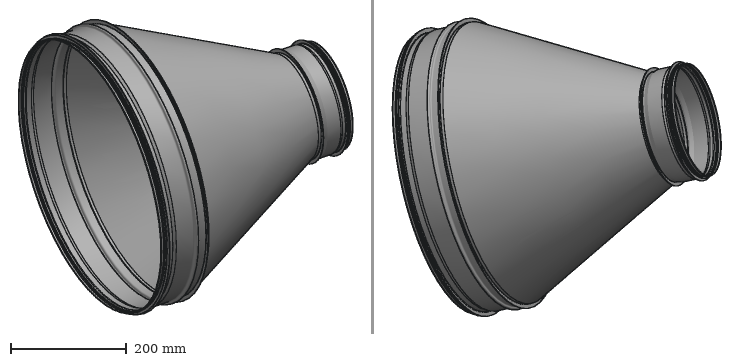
import cadquery as cq
import math


total_length = 468.5
sheet = 0.5
folded_flange = 2 * sheet

large_radius = 499.0 / 2
large_groove_radius = 493.5 / 2
large_groove_end = 25.0
large_groove_taper = 5.5
large_collar_length = 90.5
large_flange_radius = 513 / 2

bead_depth = 70.5
bend_radius = 2.8

small_radius = 200.0 / 2
small_groove_radius = 197.0 / 2
small_groove_end = 20.5
small_groove_taper = 4.0
small_body_end = 51.0
small_neck_start = 57.5
small_neck_radius = 196.0 / 2
small_collar_length = 62.5
small_flange_radius = 209.5 / 2

lip_length = 5.5
lip_taper = 1.5
lip_turn_in = 0.5
lip_turn_length = 1.5
seal_base_height = 1.0
seal_length = 7.5
front_fin_offset = 1.5
fin_thickness = 1.5
large_front_fin_radius = 253.5
large_main_fin_radius = 255.0
small_front_fin_radius = 204.5 / 2
small_main_fin_radius = 211.0 / 2

neck_length = 5.5

seal_start = lip_length + lip_taper


def revolve(outline):
    """Turn a closed outline of (radius, Y) points around the Y axis."""
    return outline.close().revolve(360, (0, 0, 0), (0, 1, 0))


def disc(radius, start, thickness):
    """A round plate on the Y axis."""
    end = start + thickness
    return revolve(cq.Workplane("XY").polyline([(0, start), (radius, start), (radius, end), (0, end)]))


def mouth_outline(radius, groove_radius, groove_end, groove_taper):
    """Start of a collar outline: the axis, the turned-in lip and the groove that seats the seal."""
    return cq.Workplane("XY").polyline([
        (0, 0),
        (radius - lip_turn_in, 0),
        (radius, lip_turn_length),
        (radius, lip_length),
        (groove_radius, seal_start),
        (groove_radius, groove_end),
        (radius, groove_end + groove_taper),
    ])


def add_bead(outline, radius, inset):
    """Add a bead of two concave roots and a round crest; inset 0 is its outside face."""
    crest = bend_radius - inset
    root = bend_radius + inset
    diagonal = math.sqrt(0.5)
    middle = radius + root
    root_offset = 2 * bend_radius
    return (
        outline.lineTo(radius, bead_depth - root_offset)
        .threePointArc((middle - root * diagonal, bead_depth - root_offset + root * diagonal),
                       (middle, bead_depth - crest))
        .threePointArc((middle + crest, bead_depth), (middle, bead_depth + crest))
        .threePointArc((middle - root * diagonal, bead_depth + root_offset - root * diagonal),
                       (radius, bead_depth + root_offset))
    )


def large_collar_form(inset):
    """Solid inside the large collar's outside face, moved inward by inset."""
    radius = large_radius - inset
    outline = mouth_outline(radius, large_groove_radius - inset, large_groove_end, large_groove_taper)
    outline = add_bead(outline, radius, inset)
    return revolve(outline.lineTo(radius, large_collar_length).lineTo(0, large_collar_length))


def small_collar_form(inset):
    """Solid inside the small collar's outside face, moved inward by inset."""
    radius = small_radius - inset
    neck_radius = small_neck_radius - inset
    outline = mouth_outline(radius, small_groove_radius - inset, small_groove_end, small_groove_taper)
    return revolve(
        outline.lineTo(radius, small_body_end)
        .lineTo(neck_radius, small_neck_start)
        .lineTo(neck_radius, small_collar_length)
        .lineTo(0, small_collar_length)
    )


def make_collar(form, flange_radius, length):
    """A sheet collar with an outward flange at its inner end."""
    flange = disc(flange_radius, length - folded_flange, folded_flange)
    return form(0).union(flange).cut(form(sheet))


def make_seal(seat_radius, front_fin_radius, main_fin_radius):
    """A rubber ring with a low front fin and a taller main fin."""
    base = disc(seat_radius + seal_base_height, seal_start, seal_length)
    front_fin = disc(front_fin_radius, seal_start + front_fin_offset, fin_thickness)
    main_fin = disc(main_fin_radius, seal_start + seal_length - fin_thickness, fin_thickness)
    bore = disc(seat_radius, seal_start, seal_length)
    return base.union(front_fin).union(main_fin).cut(bore)


def cone_form(inset):
    """Solid inside the conical shell's outside face, moved inward by inset."""
    large_end = large_collar_length
    small_end = total_length - small_collar_length
    large_end_radius = large_radius - inset
    small_end_radius = small_neck_radius - inset
    return revolve(cq.Workplane("XY").polyline([
        (0, large_end),
        (large_end_radius, large_end),
        (large_end_radius, large_end + neck_length),
        (small_end_radius, small_end - neck_length),
        (small_end_radius, small_end),
        (0, small_end),
    ]))


def make_cone():
    """The conical shell with a flange against each collar."""
    large_flange = disc(large_flange_radius, large_collar_length, sheet)
    small_flange = disc(small_flange_radius, total_length - small_collar_length - sheet, sheet)
    return cone_form(0).union(large_flange).union(small_flange).cut(cone_form(sheet))


def at_small_end(body):
    """Turn a body built from its mouth at Y = 0 to face out of the small end."""
    return body.rotate((0, 0, 0), (1, 0, 0), 180).translate((0, total_length, 0))


cone = make_cone()
large_collar = make_collar(large_collar_form, large_flange_radius, large_collar_length)
small_collar = at_small_end(make_collar(small_collar_form, small_flange_radius, small_collar_length))
large_seal = make_seal(large_groove_radius, large_front_fin_radius, large_main_fin_radius)
small_seal = at_small_end(make_seal(small_groove_radius, small_front_fin_radius, small_main_fin_radius))

result = cq.Compound.makeCompound([
    cone.val(),
    large_collar.val(),
    small_collar.val(),
    large_seal.val(),
    small_seal.val(),
])